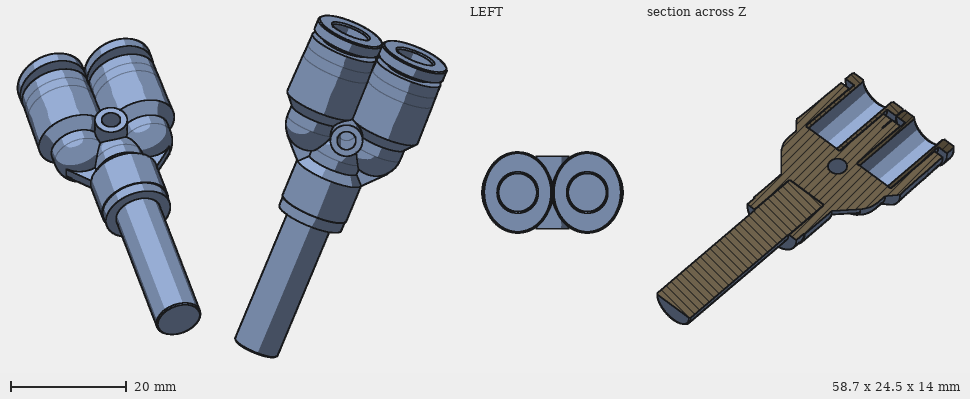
import cadquery as cq
import math


total_length = 58.7
port_spacing = 12.05
port_offsets = (-port_spacing / 2, port_spacing / 2)

flange_width = 12.0
flange_height = 14.0
flange_thickness = 2.0
flange_chamfer = 0.25
sleeve_diameter = 7.9
sleeve_bore_diameter = 6.6
bore_chamfer = 0.3
sleeve_end = 14.15

collar_start = 3.05
draft_start = 5.05
collar_diameter = 11.9
draft_start_diameter = 12.0
draft_break = 7.0
draft_break_diameter = 12.1
shoulder_start = 14.15
shoulder_diameter = 12.4
neck_start = 16.15
dome_start = 18.1
neck_radius = 4.5
dome_middle = neck_radius * math.sqrt(0.5)

stem_dome_center = 21.25
stem_cone_start = 23.2
barrel_start = 24.8
barrel_diameter = 12.0
lip_start = 31.7
lip_end = 33.65
lip_diameter = 11.6

boss_x = 16.9
boss_diameter = 5.6
boss_height = 12.55
mounting_hole_diameter = 3.2
web_thickness = 1.95

stem_diameter = 8.0
stem_chamfer = 0.25


def rod(start, end, diameter, y=0.0):
    """Cylinder along X between two positions."""
    return cq.Workplane("YZ", origin=(start, y, 0)).circle(diameter / 2).extrude(end - start)


def port_arm(y):
    """Drafted port barrel that necks down to a rounded end."""
    dome_tip = dome_start + neck_radius
    return (
        cq.Workplane("XY")
        .moveTo(collar_start, 0)
        .lineTo(collar_start, collar_diameter / 2)
        .lineTo(draft_start, draft_start_diameter / 2)
        .lineTo(draft_break, draft_break_diameter / 2)
        .lineTo(shoulder_start, shoulder_diameter / 2)
        .lineTo(neck_start, neck_radius)
        .lineTo(dome_start, neck_radius)
        .threePointArc((dome_start + dome_middle, dome_middle), (dome_tip, 0))
        .close()
        .revolve(360, (0, 0, 0), (1, 0, 0))
        .translate((0, y, 0))
    )


def stem_arm():
    """Rounded neck that widens to the barrel holding the stem."""
    dome_tip = stem_dome_center - neck_radius
    return (
        cq.Workplane("XY")
        .moveTo(dome_tip, 0)
        .threePointArc((stem_dome_center - dome_middle, dome_middle), (stem_dome_center, neck_radius))
        .lineTo(stem_cone_start, neck_radius)
        .lineTo(barrel_start, barrel_diameter / 2)
        .lineTo(lip_start, barrel_diameter / 2)
        .lineTo(lip_start, lip_diameter / 2)
        .lineTo(lip_end, lip_diameter / 2)
        .lineTo(lip_end, 0)
        .close()
        .revolve(360, (0, 0, 0), (1, 0, 0))
    )


def web():
    """Flat web whose slanted edges run from the barrel to a tangent on each port dome."""
    port_y = port_spacing / 2
    corner_y = barrel_diameter / 2
    corner_dx = barrel_start - dome_start
    corner_dy = corner_y - port_y
    corner_distance = math.hypot(corner_dx, corner_dy)
    tangent_angle = math.atan2(corner_dy, corner_dx) + math.acos(neck_radius / corner_distance)
    tangent_x = dome_start + neck_radius * math.cos(tangent_angle)
    tangent_y = port_y + neck_radius * math.sin(tangent_angle)
    outline = [
        (tangent_x, -tangent_y),
        (barrel_start, -corner_y),
        (barrel_start, corner_y),
        (tangent_x, tangent_y),
    ]
    return cq.Workplane("XY").polyline(outline).close().extrude(web_thickness / 2, both=True)


def boss_cylinder(diameter):
    """Vertical cylinder at the mounting boss, centred on the mid-plane."""
    return cq.Workplane("XY").center(boss_x, 0).circle(diameter / 2).extrude(boss_height / 2, both=True)


def make_housing():
    body = stem_arm().union(web()).union(boss_cylinder(boss_diameter))
    for y in port_offsets:
        body = body.union(port_arm(y))
    for y in port_offsets:
        body = body.cut(rod(collar_start, sleeve_end, sleeve_diameter, y))
    body = body.cut(rod(barrel_start, lip_end, stem_diameter))
    return body.cut(boss_cylinder(mounting_hole_diameter))


def make_release_sleeve(y):
    """Tube with an oval push flange and a through bore."""
    flange = (
        cq.Workplane("YZ", origin=(0, y, 0))
        .ellipse(flange_width / 2, flange_height / 2)
        .extrude(flange_thickness)
        .faces("<X")
        .chamfer(flange_chamfer)
    )
    sleeve = flange.union(rod(flange_thickness, sleeve_end, sleeve_diameter, y))
    sleeve = sleeve.cut(rod(0, sleeve_end, sleeve_bore_diameter, y))
    bore_edge = cq.selectors.RadiusNthSelector(0)
    return sleeve.faces("<X").edges(bore_edge).chamfer(bore_chamfer)


def make_stem():
    return rod(barrel_start, total_length, stem_diameter).faces(">X").chamfer(stem_chamfer)


housing = make_housing()
release_sleeves = [make_release_sleeve(y) for y in port_offsets]
stem = make_stem()

result = cq.Compound.makeCompound(
    [housing.solids().val(), *[sleeve.solids().val() for sleeve in release_sleeves], stem.val()]
)